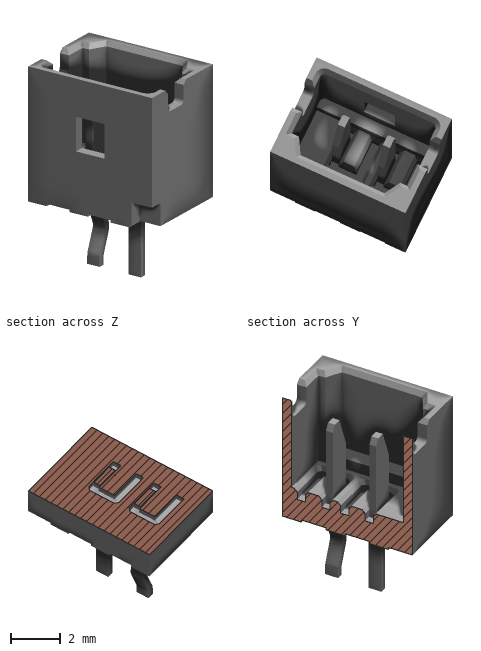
import cadquery as cq
import math


width = 6.0
depth = 4.35
height = 5.85
foot_height = 0.1
foot_width = 0.9
foot_count = 3
pitch = 2.0
corner_notch_size = 1.0
corner_notch_depth = 0.6

side_wall = 0.44
front_wall = 0.44
lead_in = 0.19
cavity_back = 3.24
cavity_corner_radius = 0.2
floor_level = 1.55
ledge_rise = 0.5
key_back = 3.91
key_back_width = 3.72
key_slant = math.radians(30)

side_slot_width = 1.12
side_slot_depth = 1.0
side_slot_middle = 1.7
side_slot_radius = 0.2
window_width = 1.38
window_height = 1.5
window_top_drop = 1.65

pocket_width = 1.79
pocket_front = 0.9
pocket_back = 3.02
pocket_depth = 0.5
pocket_bevel = 0.155
pocket_corner = 0.14
block_width = 0.78
block_back = 2.53

sheet = 0.28
offset_from_blade = -0.565
contact_xs = (-pitch / 2, pitch / 2)
blade_thickness = 0.31
blade_front = 1.37
blade_back = 2.43
blade_tip_front = 1.54
blade_tip_back = 1.91
blade_top_drop = 1.0
blade_front_taper_height = 0.3
blade_back_taper_height = 1.37
leg_width = 0.6
leg_front = 2.55
leg_length = 3.3
kink_shift = 0.43
kink_above_tip = 1.55
kink_half_height = 1.08
bend_radius = 0.3

overlap = 0.3


def box(x_range, y_range, z_range):
    """Axis-aligned block between the given limits."""
    size = [limits[1] - limits[0] for limits in (x_range, y_range, z_range)]
    return cq.Workplane("XY").box(*size, centered=False).translate((x_range[0], y_range[0], z_range[0]))


def extrude_along_x(points, x_middle, thickness):
    """Prism with a (Y, Z) outline, centred on x_middle."""
    prism = cq.Workplane("YZ").polyline(points).close().extrude(thickness / 2, both=True)
    return prism.translate((x_middle, 0, 0))


def cavity():
    """Mating cavity down to the floor, with a trapezoidal keyway along its back."""
    half = width / 2 - side_wall
    key_half = key_back_width / 2
    key_root_half = key_half + (key_back - cavity_back) * math.tan(key_slant)
    outline = [
        (-half, front_wall),
        (half, front_wall),
        (half, cavity_back),
        (key_root_half, cavity_back),
        (key_half, key_back),
        (-key_half, key_back),
        (-key_root_half, cavity_back),
        (-half, cavity_back),
    ]
    room = (
        cq.Workplane("XY")
        .workplane(offset=floor_level)
        .polyline(outline)
        .close()
        .extrude(height - floor_level)
        .edges("|Z and <Y")
        .fillet(cavity_corner_radius)
    )
    ledge_z = (floor_level, floor_level + ledge_rise)
    front_ledge = box((-half, half), (front_wall, pocket_front), ledge_z)
    key_ledge = box((-half, half), (cavity_back, key_back), ledge_z)
    return room.cut(front_ledge).cut(key_ledge)


def flare_mouth(housing):
    """Bevel the rim of the cavity all around as a lead-in."""
    inside_rim = cq.selectors.BoxSelector(
        (-width / 2 + side_wall / 2, front_wall / 2, height - lead_in),
        (width / 2 - side_wall / 2, (key_back + depth) / 2, height + lead_in),
    )
    return housing.faces(">Z").edges(inside_rim).chamfer(lead_in)


def side_slot():
    """Slot across both side walls, rounded at the bottom and flared at the top."""
    bottom = height - side_slot_depth
    half = side_slot_width / 2
    slot = (
        box(
            (-width, width),
            (side_slot_middle - half, side_slot_middle + half),
            (bottom, height),
        )
        .edges("|X and <Z")
        .fillet(side_slot_radius)
    )
    flare = extrude_along_x(
        [
            (side_slot_middle - half, height - lead_in),
            (side_slot_middle + half, height - lead_in),
            (side_slot_middle + half + lead_in, height),
            (side_slot_middle - half - lead_in, height),
        ],
        0,
        2 * width,
    )
    return slot.union(flare)


def window():
    """Latch window through the front wall."""
    top = height - window_top_drop
    return box(
        (-window_width / 2, window_width / 2),
        (0, front_wall),
        (top - window_height, top),
    )


def pocket_outline(middle_x, inset):
    """Pocket outline with its back corners cut off, shrunk by inset on every side."""
    half = pocket_width / 2 - inset
    front = pocket_front + inset
    back = pocket_back - inset
    return [
        (middle_x - half, front),
        (middle_x + half, front),
        (middle_x + half, back - pocket_corner),
        (middle_x + half - pocket_corner, back),
        (middle_x - half + pocket_corner, back),
        (middle_x - half, back - pocket_corner),
    ]


def pocket(contact_x):
    """Bevelled floor pocket around a contact, less the bevelled block that stands in it."""
    middle_x = contact_x + offset_from_blade
    bevel_bottom = floor_level - pocket_bevel
    pocket_floor = floor_level - pocket_depth
    inner_outline = pocket_outline(middle_x, pocket_bevel)
    hollow = (
        cq.Workplane("XY")
        .workplane(offset=pocket_floor)
        .polyline(inner_outline)
        .close()
        .extrude(bevel_bottom - pocket_floor)
    )
    bevel = (
        cq.Workplane("XY")
        .workplane(offset=bevel_bottom)
        .polyline(inner_outline)
        .close()
        .workplane(offset=pocket_bevel)
        .polyline(pocket_outline(middle_x, 0))
        .close()
        .loft(ruled=True)
    )
    block = box(
        (middle_x - block_width / 2, middle_x + block_width / 2),
        (0, block_back),
        (pocket_floor, floor_level),
    )
    block = block.faces(">Z").edges("|Y or >Y").chamfer(pocket_bevel)
    return hollow.union(bevel).cut(block)


def blade(contact_x):
    """Upright contact blade with a tapered tip."""
    top = height - blade_top_drop
    outline = [
        (blade_front, floor_level - pocket_depth - overlap),
        (blade_front, top - blade_front_taper_height),
        (blade_tip_front, top),
        (blade_tip_back, top),
        (blade_back, top - blade_back_taper_height),
        (blade_back, floor_level - pocket_depth - overlap),
    ]
    return extrude_along_x(outline, contact_x, blade_thickness)


def straight_leg(contact_x):
    """Plain solder leg below the housing."""
    middle_x = contact_x + offset_from_blade
    return box(
        (middle_x - leg_width / 2, middle_x + leg_width / 2),
        (leg_front, leg_front + sheet),
        (-leg_length, foot_height + overlap),
    )


def kinked_leg(contact_x):
    """Solder leg bent into a retention kink toward +Y."""
    slope = math.atan2(kink_shift, kink_half_height)
    miter = sheet * math.tan(slope / 2)
    kink_middle_z = kink_above_tip - leg_length
    kink_top = kink_middle_z + kink_half_height
    kink_bottom = kink_middle_z - kink_half_height
    leg_back = leg_front + sheet
    front_bends = [
        (leg_front, kink_bottom),
        (leg_front + kink_shift, kink_middle_z),
        (leg_front, kink_top),
    ]
    back_bends = [
        (leg_back, kink_top + miter),
        (leg_front + kink_shift + sheet / math.cos(slope), kink_middle_z),
        (leg_back, kink_bottom - miter),
    ]
    leg_top = foot_height + overlap
    outline = [
        (leg_front, -leg_length),
        *front_bends,
        (leg_front, leg_top),
        (leg_back, leg_top),
        *back_bends,
        (leg_back, -leg_length),
    ]
    middle_x = contact_x + offset_from_blade
    leg = extrude_along_x(outline, middle_x, leg_width)

    outer_radius = bend_radius + sheet
    front_radii = (outer_radius, bend_radius, outer_radius)
    back_radii = (bend_radius, outer_radius, bend_radius)
    for (y, z), radius in zip(front_bends + back_bends, front_radii + back_radii):
        leg = leg.edges(cq.selectors.NearestToPointSelector((middle_x, y, z))).fillet(radius)
    return leg


def make_housing():
    """Shrouded housing standing on low feet that run its full depth."""
    housing = box((-width / 2, width / 2), (0, depth), (foot_height, height))
    housing = flare_mouth(housing.cut(cavity()))
    housing = housing.cut(side_slot()).cut(window())
    for contact_x in contact_xs:
        housing = housing.cut(pocket(contact_x))
    for index in range(foot_count):
        left = -width / 2 + index * pitch
        housing = housing.union(box((left, left + foot_width), (0, depth), (0, foot_height)))
    corner_notch = box(
        (width / 2 - corner_notch_size, width / 2),
        (0, corner_notch_depth),
        (foot_height, foot_height + corner_notch_size),
    )
    return housing.cut(corner_notch)


result = make_housing()
for contact_x in contact_xs:
    result = result.union(blade(contact_x))
result = result.union(kinked_leg(contact_xs[0])).union(straight_leg(contact_xs[1]))